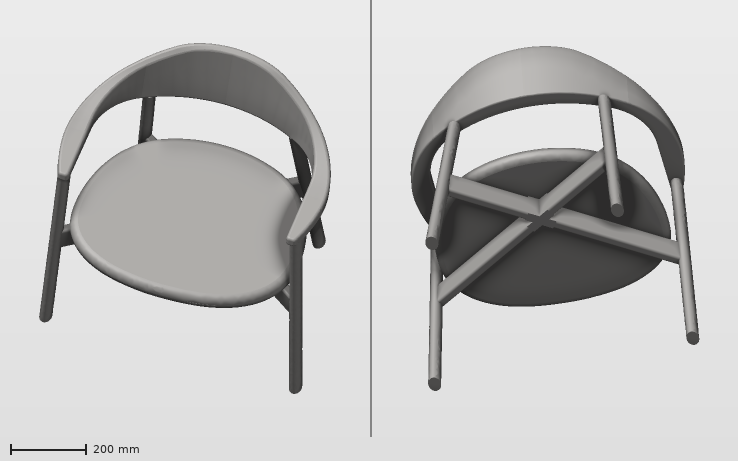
import cadquery as cq
import math

RAKE_SLOPE = 0.06
RAKE = math.degrees(math.atan(RAKE_SLOPE))

LEG_HALF_X = 17.0
LEG_HALF_Y = 23.0
FRONT_FOOT = cq.Vector(-352.0, -215.0, 0)
FRONT_HEAD = cq.Vector(-326.0, -137.0, 571.5)
REAR_FOOT = cq.Vector(-253.0, 254.0, 0)
REAR_HEAD = cq.Vector(-204.5, 198.0, 549.0)
LEG_OVERRUN = 1.1

SEAT_BOTTOM = 335.0
BOARD_THICK = 21.5
CUSHION_THICK = 23.0
CUSHION_ROUND = 21.5
BOARD_ROUND = 20.0
SEAT_OUTLINE = [
    (0, -308.0), (94.5, -301.0), (184.5, -277.5), (261.0, -229), (303, -165.5), (314.5, -81),
    (304.0, 3.0), (269.0, 96), (213.5, 162.5), (102.5, 216.0), (0, 229.5),
]

RAIL_HEIGHT = 68.0
RAIL_WIDTH = 26.5
RAIL_ROUND = 7.5
PLAIN_HALF = 40.5
RAIL_MID_Z = SEAT_BOTTOM - RAIL_HEIGHT / 2

ARM_Z = 595.0
BACK_BOTTOM = 562.0
OUTER_LEAN = 0.29
INNER_LEAN = 0.44
BACK_LOW = 517.0
BACK_HIGH = 723.5
NOSE_Y = -165.5
ARM_INNER_X = 306.5
BACK_TOP_ROUND = 8.0
BACK_BOTTOM_ROUND = 5.0
NOSE_ROUND = 10.0
OUTER_BACK_Y = 278.0
OUTER_BACK_RADIUS = 435.5
OUTER_BLEND_X = 266.0
OUTER_WIDEST = (365.5, -37.0)
OUTER_NOSE_X = 334.0
INNER_BACK_Y = 239.0
INNER_BACK_RADIUS = 443.0
INNER_BLEND_X = 217.0
CREST_RADIUS = 472.5
CREST_START_Y = -15.0
CREST_BLEND_Y = 263.0
PEAK_RADIUS = 118.0
BIG = 886.0


def mirror_points(points):
    """Left-side copies of right-side points, in reverse order."""
    return [(-x, y) for x, y in reversed(points)]


def raked_plane(height):
    """Workplane raked about X whose origin lies at the given height."""
    return cq.Workplane("XY", origin=(0, 0, height)).transformed(rotate=(-RAKE, 0, 0))


def mirror_x(vector):
    return cq.Vector(-vector.x, vector.y, vector.z)


def point_at_height(foot, head, height):
    return foot + (head - foot) * (height / head.z)


def make_leg(foot, head):
    """Oval leg on the floor, cut off along the backrest underside."""
    axis = (head - foot) * LEG_OVERRUN
    section = cq.Workplane("XY").ellipse(LEG_HALF_X, LEG_HALF_Y).val().moved(cq.Location(foot))
    leg = cq.Workplane(cq.Solid.extrudeLinear(section, [], axis))
    return leg.cut(raked_plane(BACK_BOTTOM).rect(BIG, BIG).extrude(BIG))


def seat_slab(offset, thickness):
    """Seat outline thickened upward, starting at an offset above the seat bottom."""
    loop = SEAT_OUTLINE + mirror_points(SEAT_OUTLINE[1:-1])
    return raked_plane(SEAT_BOTTOM).workplane(offset=offset).spline(loop, periodic=True).close().extrude(thickness)


def make_board():
    return seat_slab(0, BOARD_THICK).faces("<Z").edges().fillet(BOARD_ROUND)


def make_cushion():
    return seat_slab(BOARD_THICK, CUSHION_THICK).faces(">Z").edges().fillet(CUSHION_ROUND)


def make_frame():
    """Crossed rails, rounded along their edges except near the crossing."""
    rail_front = point_at_height(FRONT_FOOT, FRONT_HEAD, RAIL_MID_Z)
    rail_rear = point_at_height(REAR_FOOT, REAR_HEAD, RAIL_MID_Z)
    slope = (rail_rear.y - rail_front.y) / (-rail_rear.x - rail_front.x)
    crossing_y = rail_front.y - slope * rail_front.x
    angle = math.degrees(math.atan(slope))
    front_length = math.hypot(rail_front.x, rail_front.y - crossing_y)
    rear_length = math.hypot(rail_rear.x, rail_rear.y - crossing_y)

    def arm(length, direction):
        rounded = (
            cq.Workplane("XY")
            .box(length, RAIL_WIDTH, RAIL_HEIGHT, centered=(False, True, True))
            .edges("|X").fillet(RAIL_ROUND)
        )
        plain = cq.Workplane("XY").box(PLAIN_HALF, RAIL_WIDTH, RAIL_HEIGHT, centered=(False, True, True))
        return rounded.union(plain).rotate((0, 0, 0), (0, 0, 1), direction)

    frame = arm(front_length, 180 + angle)
    frame = frame.union(arm(front_length, -angle))
    frame = frame.union(arm(rear_length, angle))
    frame = frame.union(arm(rear_length, 180 - angle))
    frame = frame.translate((0, crossing_y, -RAIL_HEIGHT / 2)).rotate((0, 0, 0), (1, 0, 0), -RAKE)
    return frame.translate((0, 0, SEAT_BOTTOM))


def arc_drop(radius, run):
    """Fall of a circular arc over a horizontal run from its level point."""
    return radius - math.sqrt(radius**2 - run**2)


def leaning_solid(plan, lean):
    """Closed plan at arm height, carried along a line that leans backward."""
    low_shift = cq.Vector(0, lean * (BACK_LOW - ARM_Z), BACK_LOW)
    high_shift = cq.Vector(0, lean * (BACK_HIGH - ARM_Z), BACK_HIGH)
    wires = [plan.val().moved(cq.Location(shift)) for shift in (low_shift, high_shift)]
    return cq.Workplane(cq.Solid.makeLoft(wires, True))


def outer_half():
    """Right half of everything inside the outer face, cut square at the nose."""
    blend = (OUTER_BLEND_X, OUTER_BACK_Y - arc_drop(OUTER_BACK_RADIUS, OUTER_BLEND_X))
    mid_x = OUTER_BLEND_X / 2
    mid = (mid_x, OUTER_BACK_Y - arc_drop(OUTER_BACK_RADIUS, mid_x))
    plan = (
        cq.Workplane("XY")
        .moveTo(0, OUTER_BACK_Y)
        .threePointArc(mid, blend)
        .tangentArcPoint(OUTER_WIDEST, relative=False)
        .tangentArcPoint((OUTER_NOSE_X, NOSE_Y), relative=False)
        .lineTo(0, NOSE_Y)
        .close()
    )
    return leaning_solid(plan, OUTER_LEAN)


def inner_half():
    """Right half of the hollow, running out past the nose."""
    blend = (INNER_BLEND_X, INNER_BACK_Y - arc_drop(INNER_BACK_RADIUS, INNER_BLEND_X))
    mid_x = INNER_BLEND_X / 2
    mid = (mid_x, INNER_BACK_Y - arc_drop(INNER_BACK_RADIUS, mid_x))
    slope = math.asin(INNER_BLEND_X / INNER_BACK_RADIUS)
    side_radius = (ARM_INNER_X - INNER_BLEND_X) / (1 - math.sin(slope))
    arm_start_y = blend[1] - side_radius * math.cos(slope)
    plan = (
        cq.Workplane("XY")
        .moveTo(0, INNER_BACK_Y)
        .threePointArc(mid, blend)
        .tangentArcPoint((ARM_INNER_X, arm_start_y), relative=False)
        .lineTo(ARM_INNER_X, 2 * NOSE_Y)
        .lineTo(0, 2 * NOSE_Y)
        .close()
    )
    return leaning_solid(plan, INNER_LEAN)


def make_above_crest():
    """Everything above the top line, which rises from the level arm to the peak."""
    crest_run = CREST_BLEND_Y - CREST_START_Y
    crest_blend = (CREST_BLEND_Y, ARM_Z + arc_drop(CREST_RADIUS, crest_run))
    crest_slope = math.asin(crest_run / CREST_RADIUS)
    peak_y = CREST_BLEND_Y + PEAK_RADIUS * math.sin(crest_slope)
    peak_z = crest_blend[1] + PEAK_RADIUS * (1 - math.cos(crest_slope))
    return (
        cq.Workplane("YZ", origin=(-BIG / 2, 0, 0))
        .moveTo(-BIG / 2, ARM_Z)
        .lineTo(CREST_START_Y, ARM_Z)
        .tangentArcPoint(crest_blend, relative=False)
        .tangentArcPoint((peak_y, peak_z), relative=False)
        .lineTo(BIG / 2, peak_z)
        .lineTo(BIG / 2, BIG)
        .lineTo(-BIG / 2, BIG)
        .close().extrude(BIG)
    )


def make_backrest_half():
    """Right half of the leaning wall, trimmed below by the rake and above by the crest."""
    wall = outer_half().cut(inner_half())
    underside = raked_plane(BACK_BOTTOM).rect(BIG, BIG).extrude(-BIG)
    half = wall.cut(make_above_crest()).cut(underside)

    half = half.faces("<Y").edges("not |X").fillet(NOSE_ROUND)
    half = half.faces("<Z").edges(">X").fillet(BACK_BOTTOM_ROUND)
    return half.faces("+Z").faces("<Y").edges("not |X").fillet(BACK_TOP_ROUND)


def make_backrest():
    half = make_backrest_half()
    return half.union(half.mirror("YZ"))


board = make_board()
cushion = make_cushion()
backrest = make_backrest()
legs = []
for foot, head in ((FRONT_FOOT, FRONT_HEAD), (REAR_FOOT, REAR_HEAD)):
    legs.append(make_leg(foot, head))
    legs.append(make_leg(mirror_x(foot), mirror_x(head)))
frame = make_frame()
for leg in legs:
    frame = frame.cut(leg)

result = cq.Compound.makeCompound(
    [body.solids().val() for body in (board, cushion, frame, backrest, *legs)]
)